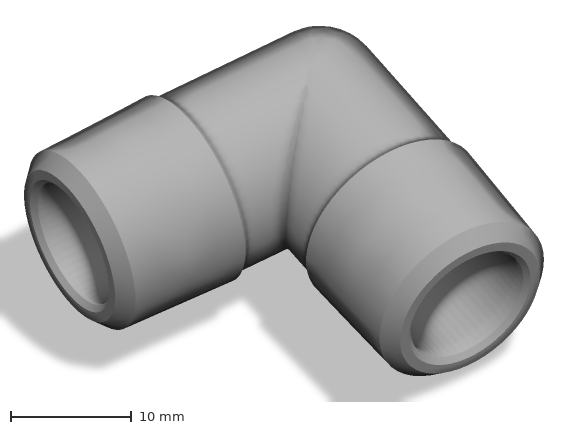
import cadquery as cq
import math

overall_length = 32.47
body_radius = 8.02
thread_radius = 8.47
thread_start = 12.1
end_chamfer = 1.25
taper_slope = 1 / 32
collar_fillet = 0.5
outer_bend_fillet = 5.1
inner_bend_fillet = 0.4

bore_radius = 5.55
bore_mouth_radius = 6.0
bore_floor = body_radius
bore_tip_slope = math.radians(20)

arm_length = overall_length - thread_radius
chamfer_start = arm_length - end_chamfer
thread_end_radius = thread_radius - (chamfer_start - thread_start) * taper_slope
collar_start = thread_start - (thread_radius - body_radius)
fillet_setback = collar_fillet * math.tan(math.pi / 8)
fillet_start = collar_start - fillet_setback


def to_x_arm(solid):
    """Turn a feature of the -Y arm onto the +X arm."""
    return solid.rotate((0, 0, 0), (0, 0, 1), 90)


def mitre_edges(solid):
    """Select the curved edges where the two body cylinders meet at 45 degrees."""
    diagonal = cq.Vector(1, 1, 0)
    return solid.edges("not %LINE").filter(
        lambda edge: abs(edge.Center().dot(diagonal)) < 0.003 and abs(edge.Center().x) > 0.32
    )


def upper_outer_bend():
    """Upper half of the rounded outside corner, where x <= 0, y >= 0 and z >= 0."""
    along_y = cq.Workplane("XZ").circle(body_radius).extrude(-body_radius)
    along_x = cq.Workplane("YZ").circle(body_radius).extrude(-body_radius)
    upper_block = cq.Workplane("XY").rect(4 * body_radius, 4 * body_radius).extrude(2 * body_radius)
    corner = along_y.intersect(along_x).intersect(upper_block)
    return mitre_edges(corner).fillet(outer_bend_fillet)


def body_arms():
    """The two body cylinders, rounded where they meet on the inside of the bend."""
    y_body = cq.Workplane("XZ").circle(body_radius).extrude(fillet_start)
    x_body = cq.Workplane("YZ").circle(body_radius).extrude(fillet_start)
    return mitre_edges(y_body.union(x_body)).fillet(inner_bend_fillet)


def threaded_end():
    """Filleted collar, tapered thread and chamfered tip of the -Y arm."""
    fillet_end = collar_start + fillet_setback * math.cos(math.pi / 4)
    fillet_end_radius = body_radius + fillet_setback * math.sin(math.pi / 4)
    arc_middle = fillet_start + collar_fillet * math.sin(math.pi / 8)
    arc_middle_radius = body_radius + collar_fillet * (1 - math.cos(math.pi / 8))
    return (
        cq.Workplane("XY")
        .moveTo(0, -fillet_start)
        .lineTo(body_radius, -fillet_start)
        .threePointArc((arc_middle_radius, -arc_middle), (fillet_end_radius, -fillet_end))
        .lineTo(thread_radius, -thread_start)
        .lineTo(thread_end_radius, -chamfer_start)
        .lineTo(thread_end_radius - end_chamfer, -arm_length)
        .lineTo(0, -arm_length)
        .close()
        .revolve(360, (0, 0), (0, 1))
    )


def bore():
    """Blind bore of the -Y arm with a chamfered mouth and a conical floor."""
    mouth_chamfer = bore_mouth_radius - bore_radius
    tip = bore_floor - bore_radius * math.tan(bore_tip_slope)
    outline = [
        (0, -tip),
        (bore_radius, -bore_floor),
        (bore_radius, -(arm_length - mouth_chamfer)),
        (bore_mouth_radius, -arm_length),
        (0, -arm_length),
    ]
    return cq.Workplane("XY").polyline(outline).close().revolve(360, (0, 0), (0, 1))


def outside_faces(solid):
    """Faces of a solid except the flat ones inside the elbow, where its pieces join."""
    return [
        face
        for face in solid.faces().vals()
        if face.geomType() != "PLANE" or face.Center().Length > body_radius
    ]


end = threaded_end()
hole = bore()
arms = body_arms().union(end).union(to_x_arm(end)).cut(hole).cut(to_x_arm(hole))
upper_bend = upper_outer_bend()
lower_bend = upper_bend.mirror("XY")
skin = [face for piece in (arms, upper_bend, lower_bend) for face in outside_faces(piece)]
result = cq.Workplane(cq.Solid.makeSolid(cq.Shell.makeShell(skin)))